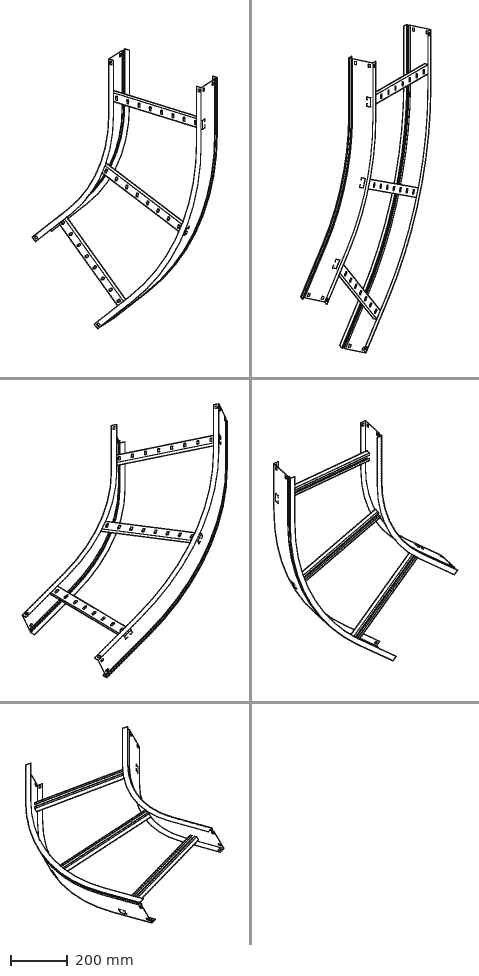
import cadquery as cq
import math


overall_height = 1079.0
bend_angle = 45.0
inner_radius = 600.0
ladder_width = 399.0
outer_radius = inner_radius + ladder_width
bend_sine = math.sin(math.radians(bend_angle))
leg_length = (overall_height - outer_radius * bend_sine) / (1 + bend_sine)

sheet = 1.0
rail_depth = 100.0
flange_width = 20.0

groove_start = 4.0
groove_end = 16.0
groove_depth = 3.0
groove_floor = 3.0

slot_width = 8.0
slot_length = 11.0
slot_end_distance = 14.0
web_slot_depths = (15.0, 72.0)

rung_width = 36.0
rung_depth = 16.0
rung_front = 10.0
rung_lip = 11.0
rung_end_distance = 151.0
middle_rung_shift = 6.0
rung_length = ladder_width - 2 * sheet
rung_slot_count = 8
rung_slot_pitch = 49.0
rung_slot_start = 26.0
rung_slot_width = 8.0
rung_slot_length = 16.0


def turn(shape, angle):
    """Turn a shape around the bend axis."""
    return shape.rotate((0, 0, 0), (0, 1, 0), angle)


def rail_profile(web_radius, inward):
    """C-section in the XY plane; inward is the X direction from the web to the flange tips."""
    slope = (groove_end - groove_start - groove_floor) / 2
    back = rail_depth
    outside = [
        (flange_width, 0),
        (0, 0),
        (0, back - groove_end),
        (groove_depth, back - groove_end + slope),
        (groove_depth, back - groove_start - slope),
        (0, back - groove_start),
        (0, back),
        (flange_width, back),
    ]
    inside = [
        (flange_width, back - sheet),
        (sheet, back - sheet),
        (sheet, back - groove_start),
        (groove_depth + sheet, back - groove_start - slope),
        (groove_depth + sheet, back - groove_end + slope),
        (sheet, back - groove_end),
        (sheet, sheet),
        (flange_width, sheet),
    ]
    points = [(web_radius + inward * x, y) for x, y in outside + inside]
    return cq.Workplane("XY").polyline(points).close()


def end_slots(web_radius, inward):
    """Slot cutters for the upper leg's end, centred in the sheet: two in the web, one in the flange."""
    slot_z = leg_length - slot_end_distance
    web_slots = (
        cq.Workplane("YZ", origin=(web_radius + inward * sheet / 2, 0, slot_z))
        .pushPoints([(y, 0) for y in web_slot_depths])
        .rect(slot_width, slot_length)
        .extrude(sheet, both=True)
    )
    flange_slot = (
        cq.Workplane("XZ", origin=(web_radius + inward * flange_width / 2, sheet / 2, slot_z))
        .rect(slot_width, slot_length)
        .extrude(sheet, both=True)
    )
    return web_slots.union(flange_slot)


def make_rail(web_radius, inward):
    upper_leg = rail_profile(web_radius, inward).extrude(leg_length)
    bend = rail_profile(web_radius, inward).revolve(bend_angle, (0, 0, 0), (0, 1, 0))
    lower_leg = turn(rail_profile(web_radius, inward).extrude(-leg_length), bend_angle)
    upper_slots = end_slots(web_radius, inward)
    lower_slots = turn(upper_slots.mirror("XY"), bend_angle)
    return upper_leg.union(bend).union(lower_leg).cut(upper_slots).cut(lower_slots)


def make_rung(height):
    """Rung across the ladder along X at a given Z: a lipped channel open to the back."""
    start = inner_radius + sheet
    half = rung_width / 2
    body = cq.Workplane("YZ", origin=(start, rung_front, height)).polyline([
        (0, -half),
        (rung_depth, -half),
        (rung_depth, rung_lip - half),
        (rung_depth - sheet, rung_lip - half),
        (rung_depth - sheet, sheet - half),
        (sheet, sheet - half),
        (sheet, half - sheet),
        (rung_depth - sheet, half - sheet),
        (rung_depth - sheet, half - rung_lip),
        (rung_depth, half - rung_lip),
        (rung_depth, half),
        (0, half),
    ]).close().extrude(rung_length)
    slots = (
        cq.Workplane("XZ", origin=(start, rung_front + sheet / 2, height))
        .pushPoints([(rung_slot_start + i * rung_slot_pitch, 0) for i in range(rung_slot_count)])
        .slot2D(rung_slot_length, rung_slot_width, 90)
        .extrude(sheet, both=True)
    )
    return body.cut(slots)


def make_middle_rung():
    """Rung halfway around the bend, its outer end trimmed to the curved web."""
    outer_web = cq.Workplane("XZ").circle(outer_radius - sheet).extrude(-rail_depth)
    return turn(make_rung(middle_rung_shift).intersect(outer_web), bend_angle / 2)


inner_rail = make_rail(inner_radius, 1)
outer_rail = make_rail(outer_radius, -1)

rung_height = leg_length - rung_end_distance
rungs = [make_rung(rung_height), make_middle_rung(), turn(make_rung(-rung_height), bend_angle)]

result = cq.Compound.makeCompound([
    inner_rail.val(),
    outer_rail.val(),
    *[rung.val() for rung in rungs],
])